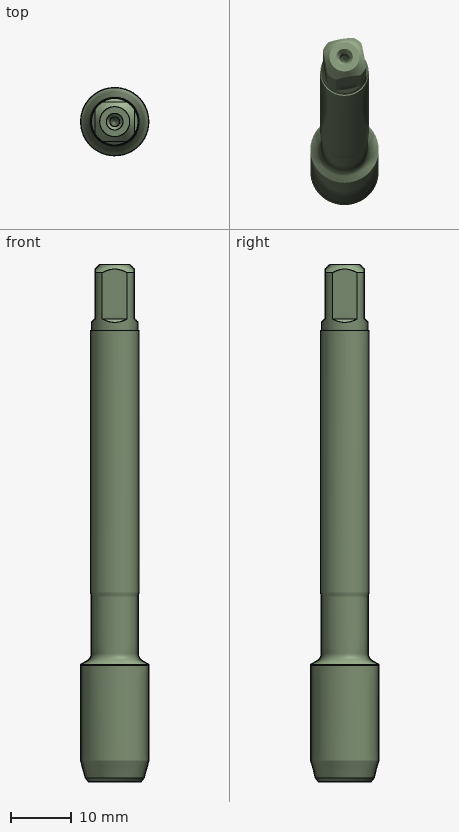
import cadquery as cq
import math

total_length = 85.0
tip_chamfer_height = 0.7
lead_top_z = 3.5
thread_top_z = 19.1
rim_top_z = 19.3
relief_bottom_z = 30.4
relief_top_z = 31.1
shank_top_z = 74.1
flat_bottom_z = 76.1

thread_radius = 11.2 / 2
lead_tip_radius = 9.7 / 2
tip_radius = 8.7 / 2
neck_radius = 7.7 / 2
shank_radius = 8.0 / 2
drive_radius = 7.65 / 2
drive_tip_radius = 4.9 / 2

shoulder_angle = math.radians(30)
shoulder_fillet = 1.4

across_flats = 6.5
runout_angle = math.radians(45)
drive_chamfer_height = 1.4

centre_hole_diameter = 1.6
centre_sink_diameter = 2.7
centre_sink_angle = math.radians(60)
centre_hole_depth = 2.55
drill_point_angle = math.radians(118)


def revolve_profile(profile):
    """Turn a closed radius-height outline about the Z axis."""
    return profile.close().revolve(360, (0, 0, 0), (0, 1, 0))


def make_threaded_section():
    """Plain cylinder for the thread, with a tapered lead and a chamfered tip."""
    profile = (
        cq.Workplane("XZ")
        .lineTo(tip_radius, 0)
        .lineTo(lead_tip_radius, tip_chamfer_height)
        .lineTo(thread_radius, lead_top_z)
        .lineTo(thread_radius, thread_top_z)
        .lineTo(0, thread_top_z)
    )
    return revolve_profile(profile)


def make_turned_shank():
    """Rim, conical shoulder, filleted neck, shank and round drive blank."""
    fillet_sweep = math.pi / 2 - shoulder_angle
    fillet_centre_radius = neck_radius + shoulder_fillet

    def fillet_radius_at(angle):
        return fillet_centre_radius - shoulder_fillet * math.cos(angle)

    fillet_start_radius = fillet_radius_at(fillet_sweep)
    fillet_start_z = rim_top_z + (thread_radius - fillet_start_radius) * math.tan(shoulder_angle)
    fillet_end_z = fillet_start_z + shoulder_fillet * math.sin(fillet_sweep)
    fillet_middle_z = fillet_end_z - shoulder_fillet * math.sin(fillet_sweep / 2)

    profile = (
        cq.Workplane("XZ")
        .moveTo(0, thread_top_z)
        .lineTo(thread_radius, thread_top_z)
        .lineTo(thread_radius, rim_top_z)
        .lineTo(fillet_start_radius, fillet_start_z)
        .threePointArc((fillet_radius_at(fillet_sweep / 2), fillet_middle_z), (neck_radius, fillet_end_z))
        .lineTo(neck_radius, relief_bottom_z)
        .lineTo(shank_radius, relief_top_z)
        .lineTo(shank_radius, shank_top_z)
        .lineTo(drive_radius, shank_top_z)
        .lineTo(drive_radius, total_length - drive_chamfer_height)
        .lineTo(drive_tip_radius, total_length)
        .lineTo(0, total_length)
    )
    return revolve_profile(profile)


def make_flat_cutter():
    """Material removed for one drive flat, with a sloping run-out at its lower end."""
    flat_distance = across_flats / 2
    runout_height = (shank_radius - flat_distance) / math.tan(runout_angle)
    return (
        cq.Workplane("XZ")
        .moveTo(flat_distance, total_length)
        .lineTo(flat_distance, flat_bottom_z)
        .lineTo(shank_radius, flat_bottom_z - runout_height)
        .lineTo(shank_radius, total_length)
        .close()
        .extrude(shank_radius, both=True)
    )


def make_centre_hole():
    """Countersunk drilled hole with a conical bottom."""
    hole_radius = centre_hole_diameter / 2
    sink_radius = centre_sink_diameter / 2
    sink_depth = (sink_radius - hole_radius) / math.tan(centre_sink_angle / 2)
    point_depth = hole_radius / math.tan(drill_point_angle / 2)
    hole_bottom_z = total_length - centre_hole_depth
    profile = (
        cq.Workplane("XZ")
        .moveTo(0, total_length)
        .lineTo(sink_radius, total_length)
        .lineTo(hole_radius, total_length - sink_depth)
        .lineTo(hole_radius, hole_bottom_z)
        .lineTo(0, hole_bottom_z - point_depth)
    )
    return revolve_profile(profile)


def make_shank():
    """Turned shank with the square drive and the centre hole cut into it."""
    shank = make_turned_shank()
    flat_cutter = make_flat_cutter()
    for angle in (0, 90, 180, 270):
        shank = shank.cut(flat_cutter.rotate((0, 0, 0), (0, 0, 1), angle))
    return shank.cut(make_centre_hole())


threaded_section = make_threaded_section()
shank = make_shank()

result = cq.Compound.makeCompound([threaded_section.val(), shank.val()])